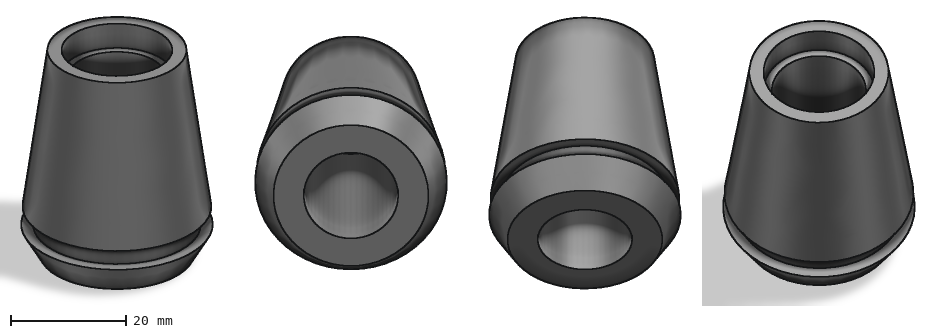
import cadquery as cq
import math

height = 40.0
lip_diameter = 33.35
lip_height = 5.55
lip_half_angle = 30.0
groove_diameter = 29.2
groove_width = 3.55
cone_base_diameter = 32.9
cone_half_angle = 8.0
bore_diameter = 16.4
counterbore_diameter = 19.25
counterbore_depth = 4.8

lip_radius = lip_diameter / 2
bottom_radius = lip_radius - lip_height * math.tan(math.radians(lip_half_angle))
groove_radius = groove_diameter / 2
cone_base_z = lip_height + groove_width
cone_base_radius = cone_base_diameter / 2
cone_height = height - cone_base_z
top_radius = cone_base_radius - cone_height * math.tan(math.radians(cone_half_angle))
bore_radius = bore_diameter / 2
counterbore_radius = counterbore_diameter / 2
ledge_z = height - counterbore_depth

half_section = [
    (bore_radius, 0),
    (bottom_radius, 0),
    (lip_radius, lip_height),
    (groove_radius, lip_height),
    (groove_radius, cone_base_z),
    (cone_base_radius, cone_base_z),
    (top_radius, height),
    (counterbore_radius, height),
    (counterbore_radius, ledge_z),
    (bore_radius, ledge_z),
]

result = cq.Workplane("XZ").polyline(half_section).close().revolve(360, (0, 0), (0, 1))